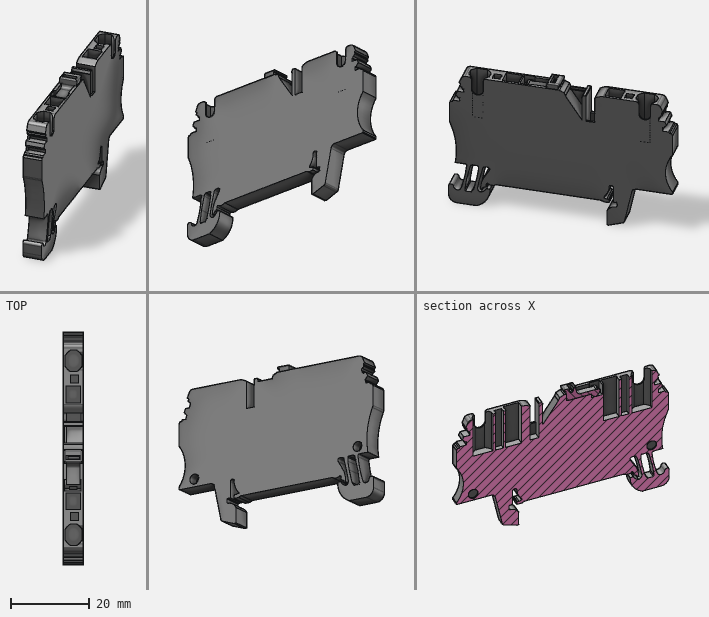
import cadquery as cq

width = 5.1
half_width = width / 2
body_half = 29.6
body_top = 38.3
body_bottom = 12.0
rail_base_bottom = 7.15
overlap_z = body_bottom + 0.6

bottom_corner_y = 28.1
wall_foot_z = 23.75
marker_slot_y = (6.65, 8.9)
marker_slot_bottom = 30.2
marker_pocket_x = (-1.7, 2.0)
marker_pocket_depth = 3.55
center_top = 37.75

recess_y = (1.2, 5.55)
recess_wall_x = -2.2
recess_wall_top = 36.9
recess_ledge_x = -1.7
recess_ledge_z = 36.3
recess_low_z = 30.45
recess_high_z = 36.8

hole_depth = 11.9
wire_hole_y = 22.2
wire_hole_center_x = 0.09
wire_hole_half_x = 2.15
wire_hole_half_y = 2.75
wire_flat_half_x = 0.85
wire_flat_half_y = 1.35
test_hole_x = (-0.65, 1.35)
test_hole_y = (16.55, 18.55)
tool_hole_x = (-1.9, 1.9)
tool_hole_y = (11.5, 15.75)
notch_radius = 1.55
notch_shoulder = 0.8
notch_center_depth = 3.5

side_hole_y = 24.9
side_hole_z = 14.1
side_hole_radius = 1.3
side_hole_depth = 3.0

pusher_top = 39.85
pusher_head_half_x = 2.4
pusher_arm_half_x = 1.7
arm_top = 37.25
barrel_radius = 1.15
barrel_y = -9.3
barrel_z = arm_top - barrel_radius
barrel_x = (-2.2, 2.0)
stem_y = -1.2
head_front_y = -4.0
hinge_pocket_y = (-11.05, -8.15)
arm_end_y = -9.35
ramp_end_y = -4.95
tongue_half_x = 1.0
tongue_end_y = -10.65
tongue_top = 37.1
pusher_slot_x = (-1.85, 1.7)
pusher_slot_y = (-3.05, -1.9)
slot_floor_x = (-1.3, 1.55)
slot_floor_y = (-2.8, -2.2)
pusher_slot_depth = 1.2
slot_floor_depth = 0.3
head_fillet = 0.35


def box(x_range, y_range, z_range):
    """Box between two limits on each axis."""
    size = [high - low for low, high in (x_range, y_range, z_range)]
    return cq.Workplane("XY").box(*size, centered=False).translate((x_range[0], y_range[0], z_range[0]))


def side_profile(y, z):
    """Start an outline in the YZ plane on the -X side."""
    return cq.Workplane("YZ", origin=(-half_width, 0, 0)).moveTo(y, z)


end_grooves = [
    (26.4, 37.7), (27.05, 36.2), (26.7, 35.85), (26.7, 35.6), (26.9, 35.3), (26.3, 34.8),
    (26.1, 34.3), (26.5, 33.5), (27.6, 33.5), (28.0, 32.5), (27.25, 31.6), (27.55, 30.65),
    (28.6, 30.65), (28.85, 30.2), (29.3, 30.2), (body_half, 29.7),
]
top_corner_y = 25.45
groove_web_x = -2.0
groove_pockets = [((25.8, 26.6), (33.5, 34.3)), ((26.9, 27.6), (30.65, 31.6))]


def body_plate():
    """Main block: mirrored latching grooves above, a concave grip on each end below."""
    right_end = [(-y, z) for y, z in end_grooves]
    left_end = list(reversed(end_grooves))
    outline = (
        side_profile(-top_corner_y, body_top)
        .threePointArc((-26.0, 38.1), right_end[0])
        .polyline(right_end[1:], includeCurrent=True)
        .lineTo(-body_half, 24.25)
        .threePointArc((-29.55, 24.0), (-29.45, wall_foot_z))
        .threePointArc((-27.8, 15.5), (-bottom_corner_y, body_bottom))
        .lineTo(29.4, body_bottom)
        .lineTo(body_half, 12.2)
        .lineTo(body_half, 12.7)
        .threePointArc((27.7, 18.25), (body_half, wall_foot_z))
        .polyline(left_end, includeCurrent=True)
        .threePointArc((26.0, 38.1), (top_corner_y, body_top))
        .close()
    )
    return outline.extrude(width)


def rail_base():
    """Block that rests on the rail, with a small lip on each side."""
    outline = (
        side_profile(12.7, overlap_z)
        .lineTo(12.7, 10.95)
        .threePointArc((12.15, 9.15), (11.4, 8.2))
        .lineTo(11.4, 8.0)
        .lineTo(12.15, 7.75)
        .lineTo(12.6, 7.8)
        .lineTo(12.7, 7.55)
        .lineTo(12.7, 6.8)
        .lineTo(11.35, 6.8)
        .lineTo(10.6, rail_base_bottom)
        .lineTo(-17.2, rail_base_bottom)
        .threePointArc((-18.3, 6.8), (-19.55, 7.2))
        .lineTo(-19.85, 6.8)
        .lineTo(-19.85, 6.1)
        .lineTo(-20.45, 5.8)
        .lineTo(-21.0, 5.1)
        .lineTo(-21.35, 5.2)
        .threePointArc((-21.2, 6.8), (-20.7, 8.3))
        .lineTo(-19.1, 11.0)
        .threePointArc((-19.0, 11.65), (-19.4, body_bottom))
        .lineTo(-19.4, overlap_z)
        .close()
    )
    return outline.extrude(width)


def fixed_foot():
    """Rigid hooked foot on the +Y side of the rail."""
    outline = (
        side_profile(20.1, overlap_z)
        .lineTo(20.1, body_bottom)
        .threePointArc((19.3, 11.8), (18.8, 11.05))
        .lineTo(16.85, 1.85)
        .threePointArc((16.6, 1.4), (16.2, 1.25))
        .lineTo(12.65, 0)
        .lineTo(12.2, 0.1)
        .lineTo(12.2, 4.2)
        .threePointArc((12.9, 5.2), (14.65, 5.75))
        .lineTo(14.85, 6.0)
        .lineTo(14.85, 6.95)
        .lineTo(14.65, rail_base_bottom)
        .lineTo(13.9, rail_base_bottom)
        .lineTo(13.9, 11.5)
        .threePointArc((13.3, body_bottom), (12.7, 11.5))
        .lineTo(12.7, overlap_z)
        .close()
    )
    return outline.extrude(width)


def spring_foot():
    """Sprung foot on the -Y side: two slanted legs that carry a shoe."""
    outline = (
        side_profile(-20.1, overlap_z)
        .lineTo(-20.1, body_bottom)
        .threePointArc((-20.6, 11.8), (-20.8, 11.3))
        .lineTo(-21.6, 8.2)
        .lineTo(-22.1, 5.55)
        .threePointArc((-21.95, 4.7), (-21.25, 4.3))
        .threePointArc((-20.5, 4.7), (-19.85, 5.4))
        .lineTo(-19.75, 5.65)
        .lineTo(-18.9, 5.5)
        .lineTo(-18.85, 5.25)
        .threePointArc((-20.2, 1.55), (-22.35, 0))
        .lineTo(-27.6, 0)
        .threePointArc((-29.15, 0.65), (-29.85, 2.2))
        .lineTo(-29.85, 4.75)
        .threePointArc((-29.15, 5.4), (-28.5, 4.9))
        .threePointArc((-27.55, 3.9), (-26.5, 4.7))
        .threePointArc((-25.65, 7.9), (-25.1, 11.3))
        .threePointArc((-25.1, 11.8), (-25.4, body_bottom))
        .lineTo(-25.4, overlap_z)
        .close()
    )
    window = (
        side_profile(-22.2, body_bottom)
        .lineTo(-23.55, body_bottom)
        .threePointArc((-23.9, 11.8), (-24.15, 11.3))
        .lineTo(-25.05, 7.6)
        .lineTo(-25.5, 4.35)
        .lineTo(-25.35, 3.9)
        .lineTo(-23.8, 3.9)
        .lineTo(-23.25, 4.7)
        .lineTo(-22.35, 8.25)
        .lineTo(-21.95, 10.7)
        .lineTo(-21.95, 11.7)
        .close()
    )
    return outline.extrude(width).cut(window.extrude(width))


def marker_slot():
    """Deep slot across the top, with a narrower pocket in its floor and a rounded edge."""
    slot = box((-half_width, half_width), marker_slot_y, (marker_slot_bottom, body_top))
    pocket_z = (marker_slot_bottom - marker_pocket_depth, marker_slot_bottom)
    edge_y, edge_z = 11.1, 37.5
    edge = (
        side_profile(edge_y, body_top)
        .threePointArc((10.0, 38.05), (marker_slot_y[1], edge_z))
        .lineTo(marker_slot_y[1], body_top)
        .close()
        .extrude(width)
    )
    return slot.union(box(marker_pocket_x, marker_slot_y, pocket_z)).union(edge)


def recess():
    """Recess beside the rib, closed by a thin low wall on -X and open on +X."""
    low_y, high_y = recess_y
    top_clearance = (
        side_profile(-0.4, body_top)
        .threePointArc((0.2, 38.0), (0.85, center_top))
        .lineTo(low_y, recess_wall_top)
        .lineTo(high_y, recess_wall_top)
        .lineTo(5.4, 37.05)
        .lineTo(5.7, center_top)
        .lineTo(6.5, center_top)
        .lineTo(marker_slot_y[0], 37.6)
        .lineTo(marker_slot_y[0], body_top)
        .close()
        .extrude(width)
    )
    wedge = (
        cq.Workplane("YZ", origin=(recess_ledge_x, 0, 0))
        .moveTo(low_y, recess_high_z)
        .lineTo(high_y, recess_low_z)
        .lineTo(high_y, recess_wall_top)
        .lineTo(low_y, recess_wall_top)
        .close()
        .extrude(half_width - recess_ledge_x)
    )
    ledge = box((recess_wall_x, recess_ledge_x), recess_y, (recess_ledge_z, recess_wall_top))
    return top_clearance.union(wedge).union(ledge)


def end_holes():
    """Wire entry with its side notch, test hole and tool hole of the +Y end."""
    z_range = (body_top - hole_depth, body_top)
    test = box(test_hole_x, test_hole_y, z_range)
    tool = box(tool_hole_x, tool_hole_y, z_range)
    return wire_hole().union(test).union(tool).union(wire_notch())


def wire_hole():
    """Wire entry: an oblong with flat walls joined by shallow corner arcs."""
    corner_x, corner_y = 1.55, 2.15
    outline = (
        cq.Workplane("XY", origin=(wire_hole_center_x, wire_hole_y, body_top - hole_depth))
        .moveTo(-wire_flat_half_x, wire_hole_half_y)
        .lineTo(wire_flat_half_x, wire_hole_half_y)
        .threePointArc((corner_x, corner_y), (wire_hole_half_x, wire_flat_half_y))
        .lineTo(wire_hole_half_x, -wire_flat_half_y)
        .threePointArc((corner_x, -corner_y), (wire_flat_half_x, -wire_hole_half_y))
        .lineTo(-wire_flat_half_x, -wire_hole_half_y)
        .threePointArc((-corner_x, -corner_y), (-wire_hole_half_x, -wire_flat_half_y))
        .lineTo(-wire_hole_half_x, wire_flat_half_y)
        .threePointArc((-corner_x, corner_y), (-wire_flat_half_x, wire_hole_half_y))
        .close()
    )
    return outline.extrude(hole_depth)


def wire_notch():
    """Round-bottomed notch with rounded shoulders through the +X wall of the wire entry."""
    shoulder_half = notch_radius + notch_shoulder
    center_z = body_top - notch_center_depth
    bend = notch_shoulder * (1 - 0.5 ** 0.5)
    outline = (
        cq.Workplane("YZ", origin=(0, wire_hole_y, 0))
        .moveTo(-shoulder_half, body_top)
        .threePointArc((-notch_radius - bend, body_top - bend), (-notch_radius, body_top - notch_shoulder))
        .lineTo(-notch_radius, center_z)
        .threePointArc((0, center_z - notch_radius), (notch_radius, center_z))
        .lineTo(notch_radius, body_top - notch_shoulder)
        .threePointArc((notch_radius + bend, body_top - bend), (shoulder_half, body_top))
        .close()
    )
    return outline.extrude(half_width)


def end_groove_pockets():
    """Square inner corners of the +Y end grooves, beside the thin web."""
    pockets = cq.Workplane("XY")
    for y_range, z_range in groove_pockets:
        pockets = pockets.union(box((groove_web_x, half_width), y_range, z_range))
    return pockets


def side_holes():
    """Blind round holes in the -X face."""
    centers = [(-side_hole_y, side_hole_z), (side_hole_y, side_hole_z)]
    return side_profile(0, 0).pushPoints(centers).circle(side_hole_radius).extrude(side_hole_depth)


def hinge_barrel():
    """Cylinder along X that the pusher turns on."""
    return (
        cq.Workplane("YZ", origin=(barrel_x[0], 0, 0))
        .center(barrel_y, barrel_z)
        .circle(barrel_radius)
        .extrude(barrel_x[1] - barrel_x[0])
    )


def pusher_pocket():
    """Channel for the pusher arm and a wider, deeper pocket for its hinge barrel."""
    arm_x = (-pusher_arm_half_x, pusher_arm_half_x)
    channel = box(arm_x, (hinge_pocket_y[0], stem_y), (barrel_z, body_top))
    hinge = box(barrel_x, hinge_pocket_y, (barrel_z - barrel_radius, body_top))
    return channel.union(hinge)


def make_housing():
    housing = body_plate().union(rail_base()).union(fixed_foot()).union(spring_foot())
    holes = end_holes()
    pockets = end_groove_pockets()
    for cutter in (
        marker_slot(),
        recess(),
        holes,
        holes.mirror("XZ"),
        pockets,
        pockets.mirror("XZ"),
        side_holes(),
        pusher_pocket(),
    ):
        housing = housing.cut(cutter)
    return housing


def pusher_head():
    """Head above the housing, with rounded top edges and a screwdriver slot."""
    head = (
        cq.Workplane("YZ", origin=(-pusher_head_half_x, 0, 0))
        .moveTo(-0.9, body_top)
        .lineTo(-0.9, 39.2)
        .lineTo(-0.4, 39.2)
        .lineTo(-0.4, pusher_top)
        .lineTo(-3.75, pusher_top)
        .lineTo(head_front_y, body_top)
        .close()
        .extrude(2 * pusher_head_half_x)
        .faces(">Z")
        .edges()
        .fillet(head_fillet)
    )
    step_z = pusher_top - pusher_slot_depth
    slot = box(pusher_slot_x, pusher_slot_y, (step_z, pusher_top))
    slot_floor = box(slot_floor_x, slot_floor_y, (step_z - slot_floor_depth, step_z))
    return head.cut(slot).cut(slot_floor)


def pusher_arm():
    """Stem under the head and flat arm, joined by a concave ramp."""
    return (
        cq.Workplane("YZ", origin=(-pusher_arm_half_x, 0, 0))
        .moveTo(stem_y, body_top)
        .lineTo(head_front_y, body_top)
        .threePointArc((-4.3, 37.55), (ramp_end_y, arm_top))
        .lineTo(arm_end_y, arm_top)
        .lineTo(arm_end_y, barrel_z)
        .lineTo(stem_y, barrel_z)
        .close()
        .extrude(2 * pusher_arm_half_x)
    )


def pusher_tongue():
    """Short tongue beyond the arm: it rises to a crest and curves down to its tip."""
    return (
        cq.Workplane("YZ", origin=(-tongue_half_x, 0, 0))
        .moveTo(arm_end_y, barrel_z)
        .lineTo(arm_end_y, 36.75)
        .lineTo(-9.9, tongue_top)
        .threePointArc((-10.4, 36.9), (tongue_end_y, 36.4))
        .lineTo(tongue_end_y, barrel_z)
        .close()
        .extrude(2 * tongue_half_x)
    )


def make_pusher():
    return pusher_head().union(pusher_arm()).union(hinge_barrel()).union(pusher_tongue())


housing = make_housing()
pusher = make_pusher()

result = cq.Compound.makeCompound([housing.solids().val(), pusher.solids().val()])